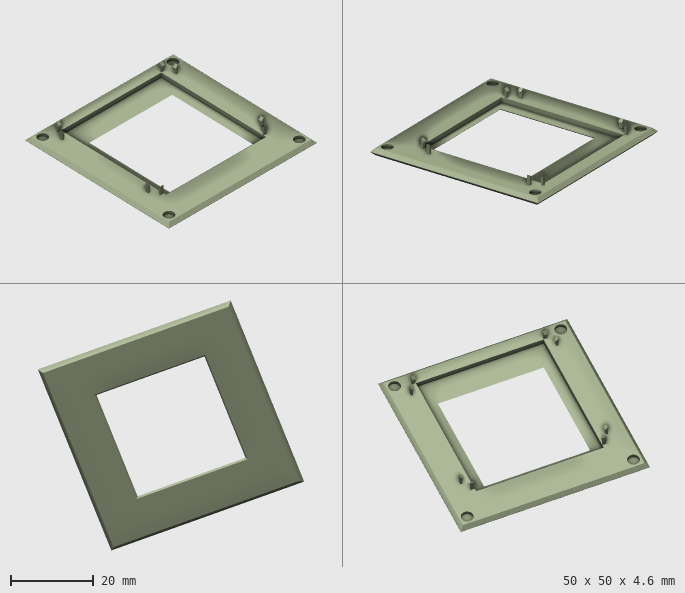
import cadquery as cq

PLATE_SIZE = 50.0
PLATE_THICKNESS = 2.0
RIM_LAND = 0.1
BEVEL = (PLATE_THICKNESS - RIM_LAND) / 2
WINDOW_SIZE = 28.0

SEAT_LENGTH = 36.5
SEAT_WIDTH = 33.8
SEAT_CENTER_X = -2.55
SEAT_DEPTH = 1.6

POCKET_DIAMETER = 3.1
POCKET_OFFSET = 22.0
POCKET_DEPTH = 1.0

TOTAL_HEIGHT = 4.6
CLIP_HEIGHT = TOTAL_HEIGHT - PLATE_THICKNESS
CLIP_WIDTH = 1.0
STEM_THICKNESS = 0.5
BARB_REACH = 0.25
BARB_TIP_DROP = STEM_THICKNESS + BARB_REACH
BARB_FOOT_DROP = BARB_TIP_DROP + BARB_REACH

CLIP_CENTER_X = -3.25
SEAT_GAP = 0.05
END_CLIP_BACK = 18.1
END_CLIP_OFFSET_Y = SEAT_WIDTH / 2 + CLIP_WIDTH / 2 + SEAT_GAP
SIDE_CLIP_BACK = 19.5
SIDE_CLIP_OFFSET_X = 14.95


def make_bevelled_plate():
    """Square slab with 45 degree bevels above and below a narrow land."""
    slab = cq.Workplane("XY").box(PLATE_SIZE, PLATE_SIZE, PLATE_THICKNESS, centered=(True, True, False))
    return slab.faces("<Z or >Z").chamfer(BEVEL)


def make_window():
    """Square opening that flares at 45 degrees from the seat floor down to the underside."""
    flare = PLATE_THICKNESS - SEAT_DEPTH
    underside_size = WINDOW_SIZE + 2 * flare
    return (
        cq.Workplane("XY")
        .rect(underside_size, underside_size)
        .workplane(offset=flare)
        .rect(WINDOW_SIZE, WINDOW_SIZE)
        .loft(ruled=True)
    )


def make_plate():
    """Bevelled plate with window, seat and corner pockets."""
    top = cq.Workplane("XY").workplane(offset=PLATE_THICKNESS)
    seat = top.center(SEAT_CENTER_X, 0).rect(SEAT_LENGTH, SEAT_WIDTH).extrude(-SEAT_DEPTH)
    pockets = (
        top.rect(2 * POCKET_OFFSET, 2 * POCKET_OFFSET, forConstruction=True)
        .vertices()
        .circle(POCKET_DIAMETER / 2)
        .extrude(-POCKET_DEPTH)
    )
    return make_bevelled_plate().cut(make_window()).cut(seat).cut(pockets)


def make_clip(back_x, back_y, facing_angle):
    """One clip on the plate, its barb pointing along facing_angle (degrees from +X)."""
    profile = [
        (0, 0),
        (STEM_THICKNESS, 0),
        (STEM_THICKNESS, CLIP_HEIGHT - BARB_FOOT_DROP),
        (STEM_THICKNESS + BARB_REACH, CLIP_HEIGHT - BARB_TIP_DROP),
        (0, CLIP_HEIGHT),
    ]
    return (
        cq.Workplane("XZ")
        .polyline(profile)
        .close()
        .extrude(CLIP_WIDTH / 2, both=True)
        .rotate((0, 0, 0), (0, 0, 1), facing_angle)
        .translate((back_x, back_y, PLATE_THICKNESS))
    )


def make_clips():
    """A pair of clips at each corner of the seat, all with barbs pointing inwards."""
    clips = []
    for x_side in (-1, 1):
        for y_side in (-1, 1):
            end_clip = make_clip(
                CLIP_CENTER_X + x_side * END_CLIP_BACK,
                y_side * END_CLIP_OFFSET_Y,
                0 if x_side < 0 else 180,
            )
            side_clip = make_clip(
                CLIP_CENTER_X + x_side * SIDE_CLIP_OFFSET_X,
                y_side * SIDE_CLIP_BACK,
                -90 * y_side,
            )
            clips += [end_clip.val(), side_clip.val()]
    return clips


plate = make_plate()
clips = make_clips()
result = cq.Compound.makeCompound([plate.val(), *clips])